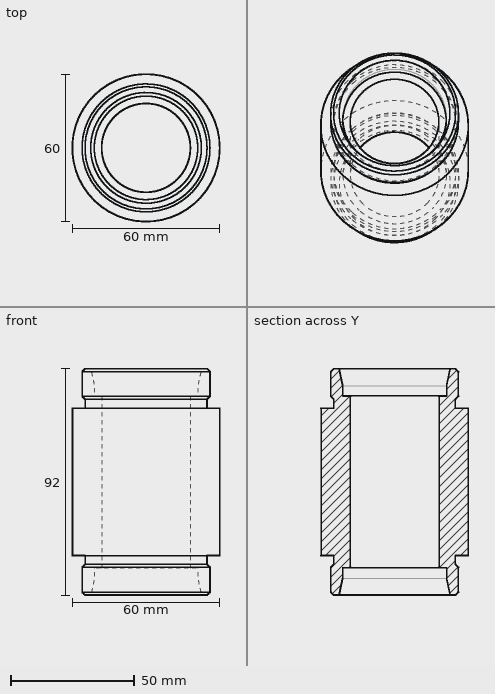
import cadquery as cq
import math

total_length = 92.0
body_length = 60.0
body_diameter = 60.0
collar_diameter = 52.0
neck_diameter = 49.6
collar_length = 12.5
bore_diameter = 36.0
socket_diameter = 42.0
socket_depth = 11.0
mouth_diameter = 45.0
cone_half_angle = 12.0

half_length = total_length / 2
chamfer = (collar_diameter - neck_diameter) / 2
cone_depth = (mouth_diameter - socket_diameter) / 2 / math.tan(math.radians(cone_half_angle))


def cylinder(diameter, length):
    """Cylinder on the Z axis, centred on the origin."""
    return cq.Workplane("XY").cylinder(length, diameter / 2)


def collar():
    """Upper end collar, chamfered at the end face and down to the neck."""
    return (
        cq.Workplane("XY", origin=(0, 0, half_length - collar_length))
        .circle(collar_diameter / 2)
        .extrude(collar_length)
        .edges()
        .chamfer(chamfer)
    )


def socket():
    """Upper end socket: a conical mouth leading to a straight, flat-bottomed recess."""
    floor = half_length - socket_depth
    cone_end = half_length - cone_depth
    return (
        cq.Workplane("XZ")
        .moveTo(0, floor)
        .lineTo(socket_diameter / 2, floor)
        .lineTo(socket_diameter / 2, cone_end)
        .lineTo(mouth_diameter / 2, half_length)
        .lineTo(0, half_length)
        .close()
        .revolve(360, (0, 0, 0), (0, 1, 0))
    )


def on_both_ends(feature):
    """The upper feature together with its mirror image at the lower end."""
    return feature.union(feature.mirror("XY"))


neck_length = 2 * (half_length - collar_length)
outside = (
    cylinder(neck_diameter, neck_length)
    .union(cylinder(body_diameter, body_length))
    .union(on_both_ends(collar()))
)
result = outside.cut(cylinder(bore_diameter, total_length)).cut(on_both_ends(socket()))